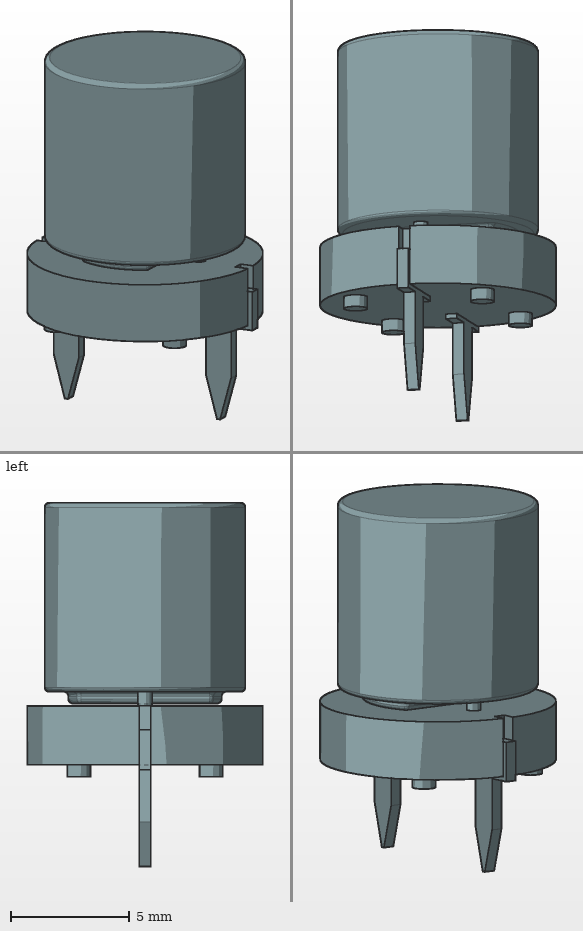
import cadquery as cq


SOCKET_DIAMETER = 10.0
SOCKET_HEIGHT = 2.5
SLOT_DEPTH = 0.6
FOOT_DIAMETER = 1.0
FOOT_HEIGHT = 0.5
FOOT_OFFSET = 2.8

CAN_DIAMETER = 8.5
CAN_HEIGHT = 8.0
CAN_EDGE_RADIUS = 0.2
CAN_GAP = 0.6
LEAD_DIAMETER = 0.6
LEAD_PITCH = 5.1

PLUG_DIAMETER = 6.5
PLUG_WIDTH = 3.2
PLUG_HEIGHT = 0.5
PLUG_EDGE_RADIUS = 0.2
PLUG_BLEND_RADIUS = 0.2
JOINT_MARGIN = 0.05

TERMINAL_THICKNESS = 0.5
TERMINAL_WRAP = 0.2
ARM_TOP = 1.5
TERMINAL_INNER_X = 1.95
BLADE_CENTRE_X = 3.6
BLADE_WIDTH = 1.2
BLADE_TIP_WIDTH = 0.15
BLADE_TAPER_Z = -2.4
BLADE_TIP_Z = -4.3

SOCKET_RADIUS = SOCKET_DIAMETER / 2
SLOT_FLOOR_X = SOCKET_RADIUS - SLOT_DEPTH
TERMINAL_OUTER_X = SOCKET_RADIUS + TERMINAL_WRAP
CAN_BOTTOM = SOCKET_HEIGHT + CAN_GAP
SIDES = (-1, 1)


def cylinder(diameter, bottom, height):
    return cq.Workplane("XY").workplane(offset=bottom).circle(diameter / 2).extrude(height)


def make_socket():
    """Round socket with four feet and an open terminal slot on each side."""
    socket = cylinder(SOCKET_DIAMETER, 0, SOCKET_HEIGHT)
    feet = (
        cq.Workplane("XY")
        .rect(2 * FOOT_OFFSET, 2 * FOOT_OFFSET, forConstruction=True)
        .vertices()
        .circle(FOOT_DIAMETER / 2)
        .extrude(-FOOT_HEIGHT)
    )
    slot_length = TERMINAL_OUTER_X - SLOT_FLOOR_X
    slots = (
        cq.Workplane("XY")
        .pushPoints([(side * (SLOT_FLOOR_X + slot_length / 2), 0) for side in SIDES])
        .rect(slot_length, TERMINAL_THICKNESS)
        .extrude(SOCKET_HEIGHT)
    )
    return socket.union(feet).cut(slots)


def make_can_with_plug():
    """Can with rounded rims; the plug below blends into its underside."""
    can = cylinder(CAN_DIAMETER, CAN_BOTTOM, CAN_HEIGHT).edges().fillet(CAN_EDGE_RADIUS)
    plug_bottom = CAN_BOTTOM - PLUG_HEIGHT
    flats = (
        cq.Workplane("XY")
        .workplane(offset=plug_bottom)
        .rect(PLUG_WIDTH, PLUG_DIAMETER)
        .extrude(PLUG_HEIGHT)
    )
    plug = (
        cylinder(PLUG_DIAMETER, plug_bottom, PLUG_HEIGHT)
        .intersect(flats)
        .edges("|Z")
        .fillet(PLUG_EDGE_RADIUS)
    )
    plug = plug.faces("<Z").edges().fillet(PLUG_EDGE_RADIUS)
    joint_edges = cq.selectors.BoxSelector(
        (-PLUG_DIAMETER / 2 - JOINT_MARGIN, -PLUG_DIAMETER / 2 - JOINT_MARGIN, CAN_BOTTOM - JOINT_MARGIN),
        (PLUG_DIAMETER / 2 + JOINT_MARGIN, PLUG_DIAMETER / 2 + JOINT_MARGIN, CAN_BOTTOM + JOINT_MARGIN),
        boundingbox=True,
    )
    return can.union(plug).edges(joint_edges).fillet(PLUG_BLEND_RADIUS)


def make_leads():
    """Two round leads that bridge the gap from the socket to the can."""
    return (
        cq.Workplane("XY")
        .workplane(offset=SOCKET_HEIGHT)
        .pushPoints([(side * LEAD_PITCH / 2, 0) for side in SIDES])
        .circle(LEAD_DIAMETER / 2)
        .extrude(CAN_GAP)
    )


def make_fuse_on_socket():
    return make_socket().union(make_leads()).union(make_can_with_plug())


def make_terminal(side):
    """Flat terminal: arm in the slot, strip under the socket, pointed blade below."""
    outline = [
        (TERMINAL_OUTER_X, ARM_TOP),
        (SLOT_FLOOR_X, ARM_TOP),
        (SLOT_FLOOR_X, 0),
        (TERMINAL_INNER_X, 0),
        (TERMINAL_INNER_X, -TERMINAL_WRAP),
        (BLADE_CENTRE_X - BLADE_WIDTH / 2, -TERMINAL_WRAP),
        (BLADE_CENTRE_X - BLADE_WIDTH / 2, BLADE_TAPER_Z),
        (BLADE_CENTRE_X - BLADE_TIP_WIDTH / 2, BLADE_TIP_Z),
        (BLADE_CENTRE_X + BLADE_TIP_WIDTH / 2, BLADE_TIP_Z),
        (BLADE_CENTRE_X + BLADE_WIDTH / 2, BLADE_TAPER_Z),
        (BLADE_CENTRE_X + BLADE_WIDTH / 2, -TERMINAL_WRAP),
        (TERMINAL_OUTER_X, -TERMINAL_WRAP),
    ]
    return (
        cq.Workplane("XZ")
        .polyline([(side * x, z) for x, z in outline])
        .close()
        .extrude(TERMINAL_THICKNESS / 2, both=True)
    )


fuse_on_socket = make_fuse_on_socket()
terminals = [make_terminal(side) for side in SIDES]

result = cq.Compound.makeCompound([fuse_on_socket.val(), *[terminal.val() for terminal in terminals]])